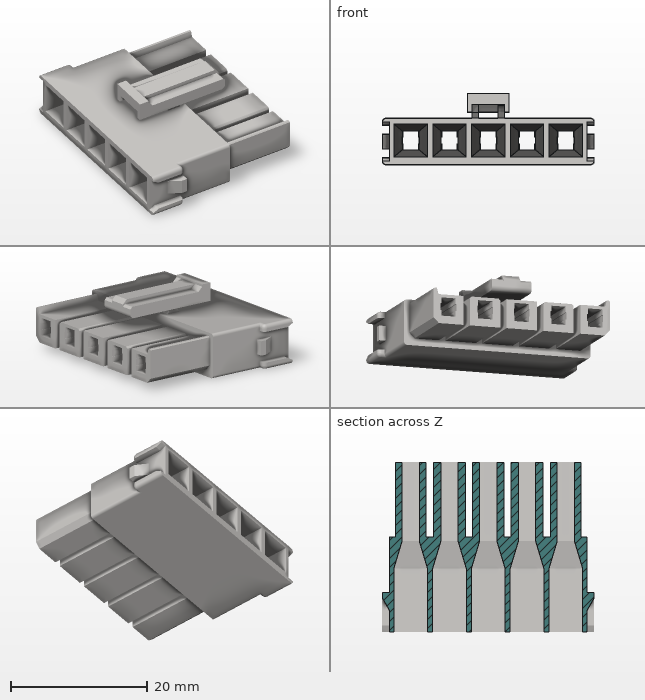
import cadquery as cq
import math


total_length = 25.0
body_width = 29.03
body_length = 14.02
body_height = 6.85
body_edge_radius = 0.47

rail_span = 31.15
rail_length = 5.35
rail_thickness = 1.05
rail_edge_radius = 0.6
fillet_clearance = 0.03
lead_in_length = 0.95
lead_in_rise = 0.47

latch_start = 3.1
latch_crest = 4.98
latch_end = 5.9
latch_bottom = 2.3
latch_height = 2.2

position_count = 5
pitch = 5.7
end_position = (position_count - 1) / 2 * pitch
cavity_width = 4.9
cavity_height = 4.8
cavity_center_z = 3.58
cavity_depth = 9.35
funnel_length = 4.05
bore_width = 2.25
bore_height = 2.75
bore_slot_width = 2.45
bore_slot_height = 1.05

tower_width = 4.75
end_tower_width = 4.6
tower_bottom = 1.05
tower_top = 5.42
tower_chamfer = 0.28
ridge_top = 6.35
ridge_top_width = 0.5
ridge_base_width = 0.75
ridge_chamfer = 0.15
outer_chamfer_width = 0.8
tower_root = 0.3

lever_width = 6.17
lever_start = 5.65
lever_end = 20.53
lever_bottom = 7.7
lever_top = 10.5
lever_spine_width = 2.65
lever_spine_top = 10.15
lever_shoulder_top = 9.47
lever_press_end = 7.15
lever_tip_radius = 0.7
lever_tip_chamfer = lever_spine_top - lever_shoulder_top
shoulder_tip_chamfer = 0.35
recess_width = 4.8
recess_top = 8.88
recess_end = 12.02

post_width = 0.97
post_foot_start = 10.8
post_foot_end = 13.15
post_neck_start = 11.35
post_neck_front_z = 7.9
post_upper_radius = 0.8
post_neck_end = 12.75
post_rear_arc_y = 12.83
post_rear_arc_z = 7.23


def box(x_min, x_max, y_min, y_max, z_min, z_max):
    size = (x_max - x_min, y_max - y_min, z_max - z_min)
    return cq.Workplane("XY").box(*size, centered=False).translate((x_min, y_min, z_min))


def side_profile(points, x_center, width):
    """Extrude an outline of (y, z) points symmetrically about x_center."""
    outline = cq.Workplane("YZ", origin=(x_center, 0, 0)).polyline(points).close()
    return outline.extrude(width / 2, both=True)


def mirror_x(solid):
    return solid.union(solid.mirror("YZ"))


def make_body():
    half = body_width / 2
    body = box(-half, half, 0, body_length, 0, body_height)
    return body.edges("|Y").fillet(body_edge_radius)


def make_lower_rails():
    """Bottom slab as wide as the rails; its inner face slopes down at the mating end."""
    profile = [
        (0, 0),
        (rail_length, 0),
        (rail_length, rail_thickness),
        (lead_in_length, rail_thickness),
        (0, rail_thickness - lead_in_rise),
    ]
    slab = side_profile(profile, 0, rail_span)
    slab = slab.edges("|Z and >Y").fillet(rail_edge_radius)
    return slab.faces("<Z").edges("not <Y").fillet(rail_edge_radius - fillet_clearance)


def make_rails():
    lower = make_lower_rails()
    upper = lower.mirror("XY").translate((0, 0, body_height))
    return lower.union(upper)


def make_latches():
    wedge = (
        cq.Workplane("XY", origin=(0, 0, latch_bottom))
        .moveTo(0, latch_start)
        .lineTo(body_width / 2, latch_start)
        .lineTo(rail_span / 2, latch_crest)
        .lineTo(rail_span / 2, latch_end)
        .lineTo(0, latch_end)
        .close()
        .extrude(latch_height)
    )
    return mirror_x(wedge)


def make_tower(x_center, chamfered):
    half = tower_width / 2
    tower = box(
        x_center - half, x_center + half, body_length - tower_root, total_length, tower_bottom, tower_top
    )
    if chamfered:
        tower = tower.edges("|Y and >Z").chamfer(tower_chamfer)
    return tower


def make_end_tower():
    """Tower at the +X end, with a ridge along its outer top edge and a bevelled outer lower edge."""
    inner = end_position - end_tower_width / 2
    outer = end_position + end_tower_width / 2
    return (
        cq.Workplane("XZ", origin=(0, total_length, 0))
        .moveTo(inner, tower_bottom)
        .lineTo(outer - outer_chamfer_width, tower_bottom)
        .lineTo(outer, tower_bottom + outer_chamfer_width)
        .lineTo(outer, ridge_top - ridge_chamfer)
        .lineTo(outer - ridge_chamfer, ridge_top)
        .lineTo(outer - ridge_top_width, ridge_top)
        .lineTo(outer - ridge_base_width, tower_top)
        .lineTo(inner, tower_top)
        .close()
        .extrude(total_length - body_length + tower_root)
    )


def make_towers():
    towers = mirror_x(make_end_tower())
    towers = towers.union(mirror_x(make_tower(pitch, True)))
    return towers.union(make_tower(0, False))


def make_contact_cavity(x_center):
    """Square mating cavity that funnels down to the wire bore."""
    plane = cq.Workplane("XZ", origin=(x_center, 0, cavity_center_z))
    cavity = plane.rect(cavity_width, cavity_height).extrude(-cavity_depth)
    funnel = (
        plane.workplane(offset=-cavity_depth)
        .rect(cavity_width, cavity_height)
        .workplane(offset=-funnel_length)
        .rect(bore_slot_width, bore_height)
        .loft(ruled=True)
    )
    bore = plane.rect(bore_width, bore_height).extrude(-total_length)
    bore_slot = plane.rect(bore_slot_width, bore_slot_height).extrude(-total_length)
    return cavity.union(funnel).union(bore).union(bore_slot)


def make_lever():
    half = lever_width / 2
    lever = box(-half, half, lever_start, lever_end, lever_bottom, lever_shoulder_top)
    lever = lever.edges("|X and >Y and <Z").fillet(lever_tip_radius)
    lever = lever.edges("|X and >Y and >Z").chamfer(shoulder_tip_chamfer)

    slope_end = lever_press_end + lever_spine_top - lever_shoulder_top
    pad_profile = [
        (lever_start, lever_shoulder_top),
        (lever_start, lever_top),
        (lever_press_end, lever_top),
        (lever_press_end, lever_spine_top),
        (slope_end, lever_shoulder_top),
    ]
    lever = lever.union(side_profile(pad_profile, 0, lever_width))

    spine_profile = [
        (lever_start, recess_top),
        (lever_start, lever_spine_top),
        (lever_end - lever_tip_chamfer, lever_spine_top),
        (lever_end, lever_shoulder_top),
        (lever_end, recess_top),
    ]
    lever = lever.union(side_profile(spine_profile, 0, lever_spine_width))

    half_recess = recess_width / 2
    recess = box(-half_recess, half_recess, lever_start, recess_end, lever_bottom, recess_top)
    return lever.cut(recess)


def make_posts():
    """Waisted posts with hollow front and rear faces; the -X one has a square block at the lever."""
    outer = recess_width / 2
    lip_y = post_neck_start - post_upper_radius
    lip_z = post_neck_front_z + post_upper_radius
    arc_offset = post_upper_radius * math.sqrt(0.5)
    arc_middle = (lip_y + arc_offset, post_neck_front_z + arc_offset)
    post = (
        cq.Workplane("YZ", origin=(outer - post_width, 0, 0))
        .moveTo(lip_y, recess_top)
        .lineTo(lip_y, lip_z)
        .threePointArc(arc_middle, (post_neck_start, post_neck_front_z))
        .tangentArcPoint((post_foot_start, body_height), relative=False)
        .lineTo(post_foot_end, body_height)
        .threePointArc((post_rear_arc_y, post_rear_arc_z), (post_neck_end, lever_bottom))
        .lineTo(post_neck_end, recess_top)
        .close()
        .extrude(post_width)
    )
    block = box(-outer, post_width - outer, lip_y, recess_end, lever_bottom, recess_top)
    return mirror_x(post).union(block)


result = make_body().union(make_rails()).union(make_latches()).union(make_towers())
for index in range(position_count):
    result = result.cut(make_contact_cavity(index * pitch - end_position))
result = result.union(make_lever()).union(make_posts())